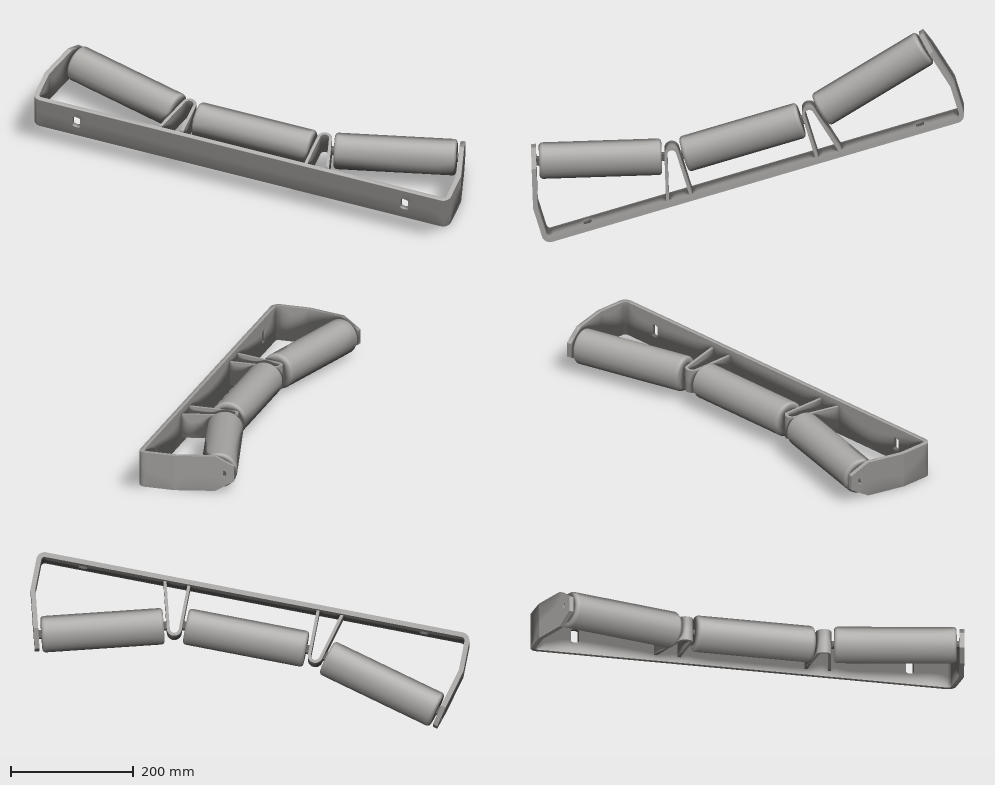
import cadquery as cq
import math

LENGTH = 720.0
HEIGHT = 60.0
TILT = math.radians(15)

FRAME_THICK = 8.0
FRAME_BEND_R = 14.0
FOLD_Y = 63.0
TIP_Y = 158.0
TIP_WIDTH = 25.0
TIP_CHAMFER_LENGTH = 31.0

MOUNT_SLOT_X = 284.0
MOUNT_SLOT_WIDTH = 14.0
MOUNT_SLOT_HEIGHT = 23.0

BRACKET_THICK = 5.0
BRACKET_HEIGHT = 40.0
LOOP_R = 12.0
LOOP_Y = 82.0

ROLLER_LENGTH = 200.0
ROLLER_DIAMETER = 60.0
ROLLER_EDGE_R = 6.0
ROLLER_GAP = 5.0
MIDDLE_ROLLER_Y = 71.0
SHAFT_DIAMETER = 15.0
SHAFT_FLATS = 10.0
SHAFT_SLOT_LENGTH = 20.0
OUTER_ROLLER_RISE = 40.0

COS = math.cos(TILT)
SIN = math.sin(TILT)
HALF_LENGTH = LENGTH / 2
BRACKET_FACE_X = ROLLER_LENGTH / 2 + ROLLER_GAP
LOOP_X = BRACKET_FACE_X + LOOP_R


def leaning_point(across, along):
    """Right-hand point from distances across and along the leaning direction."""
    return (across * COS - along * SIN, across * SIN + along * COS)


PLATE_OUTER = HALF_LENGTH * COS + FOLD_Y * SIN
PLATE_INNER = PLATE_OUTER - FRAME_THICK
LOOP_ACROSS = LOOP_X * COS + LOOP_Y * SIN
BRACKET_LEAN_FACE = LOOP_ACROSS + LOOP_R
ROLLER_MID_ACROSS = (BRACKET_LEAN_FACE + PLATE_INNER) / 2

PLATE_TIP = (TIP_Y - PLATE_OUTER * SIN) / COS


def leaning_plane(across, along):
    """Plane whose X axis runs along the lean, Y along Z, and normal across the lean, outwards."""
    x, y = leaning_point(across, along)
    return cq.Plane(origin=(x, y, 0), xDir=(-SIN, COS, 0), normal=(COS, SIN, 0))


def mirror_pair(right):
    """The right-hand shape and its mirror image on the left."""
    return [right, right.mirror("YZ")]


def make_shaft_slot():
    """Cutter for the right-hand end plate; the flatted shaft sits in its lower end."""
    rise = OUTER_ROLLER_RISE + (SHAFT_SLOT_LENGTH - SHAFT_DIAMETER) / 2
    centre = cq.Workplane(leaning_plane(PLATE_INNER, rise))
    rounded = centre.slot2D(SHAFT_SLOT_LENGTH, SHAFT_DIAMETER).extrude(FRAME_THICK)
    flats = centre.rect(SHAFT_SLOT_LENGTH, SHAFT_FLATS).extrude(FRAME_THICK)
    return rounded.intersect(flats)


def make_tip_chamfers():
    """Cutters for the two corners of the right-hand end-plate tip."""
    corner = [
        (0, TIP_WIDTH / 2),
        (0, HEIGHT / 2),
        (-TIP_CHAMFER_LENGTH, HEIGHT / 2),
    ]
    tip = cq.Workplane(leaning_plane(PLATE_INNER, PLATE_TIP))
    upper = tip.polyline(corner).close().extrude(FRAME_THICK)
    return upper.union(upper.mirror("XY"))


def make_mount_slot():
    """Upright slot cutter with shallow rounded ends."""
    centre = cq.Workplane("XZ").center(MOUNT_SLOT_X, 0)
    disc = centre.circle(MOUNT_SLOT_HEIGHT / 2).extrude(-FRAME_THICK)
    sides = centre.rect(MOUNT_SLOT_WIDTH, MOUNT_SLOT_HEIGHT).extrude(-FRAME_THICK)
    return disc.intersect(sides)


def round_upright_edges(body, x, y, radius):
    """Round the vertical edge at (x, y) and its mirror image at (-x, y)."""
    for side_x in (x, -x):
        edge = cq.selectors.NearestToPointSelector((side_x, y, 0))
        body = body.edges("|Z").edges(edge).fillet(radius)
    return body


def make_frame():
    """One bent strip: a base, two upright walls and two leaning end plates."""
    inner_corner_x = HALF_LENGTH - FRAME_THICK
    inner_fold_y = FOLD_Y - FRAME_THICK * math.tan(TILT / 2)
    right_outline = [
        (HALF_LENGTH, 0),
        (HALF_LENGTH, FOLD_Y),
        leaning_point(PLATE_OUTER, PLATE_TIP),
        leaning_point(PLATE_INNER, PLATE_TIP),
        (inner_corner_x, inner_fold_y),
        (inner_corner_x, FRAME_THICK),
    ]
    left_outline = [(-x, y) for x, y in reversed(right_outline)]
    frame = (
        cq.Workplane("XY")
        .polyline(right_outline + left_outline)
        .close()
        .extrude(HEIGHT / 2, both=True)
    )
    frame = round_upright_edges(frame, HALF_LENGTH, 0, FRAME_BEND_R)
    frame = round_upright_edges(frame, inner_corner_x, FRAME_THICK, FRAME_BEND_R - FRAME_THICK)
    frame = round_upright_edges(frame, HALF_LENGTH, FOLD_Y, FRAME_THICK)
    for cutter in (make_shaft_slot(), make_tip_chamfers(), make_mount_slot()):
        for side in mirror_pair(cutter):
            frame = frame.cut(side)
    return frame


def make_bracket():
    """Right-hand bent strip: an upright leg, a loop and a leaning leg."""

    def loop_point(radius, angle):
        return (LOOP_X + radius * math.cos(angle), LOOP_Y + radius * math.sin(angle))

    def leg_foot(radius):
        across = LOOP_ACROSS + radius
        return ((across - FRAME_THICK * SIN) / COS, FRAME_THICK)

    inner_r = LOOP_R - BRACKET_THICK
    crown = (TILT + math.pi) / 2
    return (
        cq.Workplane("XY")
        .moveTo(BRACKET_FACE_X, FRAME_THICK)
        .lineTo(BRACKET_FACE_X, LOOP_Y)
        .threePointArc(loop_point(LOOP_R, crown), loop_point(LOOP_R, TILT))
        .lineTo(*leg_foot(LOOP_R))
        .lineTo(*leg_foot(inner_r))
        .lineTo(*loop_point(inner_r, TILT))
        .threePointArc(loop_point(inner_r, crown), (LOOP_X - inner_r, LOOP_Y))
        .lineTo(BRACKET_FACE_X + BRACKET_THICK, FRAME_THICK)
        .close()
        .extrude(BRACKET_HEIGHT / 2, both=True)
    )


def make_shaft(plane, reach_in, reach_out):
    """Shaft with two flats, reaching both ways from the plane along its normal."""
    length = reach_in + reach_out
    start = cq.Workplane(plane).workplane(offset=-reach_in)
    return start.circle(SHAFT_DIAMETER / 2).extrude(length).intersect(
        start.rect(SHAFT_DIAMETER, SHAFT_FLATS).extrude(length)
    )


def make_roller(plane, shaft):
    """Roller centred on the plane, its axis along the plane normal, in one piece with its shaft."""
    barrel = (
        cq.Workplane(plane)
        .workplane(offset=-ROLLER_LENGTH / 2)
        .circle(ROLLER_DIAMETER / 2)
        .extrude(ROLLER_LENGTH)
        .edges("%CIRCLE")
        .fillet(ROLLER_EDGE_R)
    )
    return barrel.union(shaft)


middle_plane = cq.Plane(origin=(0, MIDDLE_ROLLER_Y, 0), xDir=(0, 1, 0), normal=(1, 0, 0))
outer_plane = leaning_plane(ROLLER_MID_ACROSS, OUTER_ROLLER_RISE)

bracket_reach = BRACKET_FACE_X + BRACKET_THICK
middle_shaft = make_shaft(middle_plane, bracket_reach, bracket_reach)
outer_shaft = make_shaft(
    outer_plane,
    ROLLER_MID_ACROSS - BRACKET_LEAN_FACE + BRACKET_THICK,
    PLATE_OUTER - ROLLER_MID_ACROSS,
)

frame = make_frame()
brackets = mirror_pair(make_bracket().cut(middle_shaft).cut(outer_shaft))
middle_roller = make_roller(middle_plane, middle_shaft)
outer_rollers = mirror_pair(make_roller(outer_plane, outer_shaft))

result = cq.Compound.makeCompound(
    [
        frame.val(),
        *[bracket.val() for bracket in brackets],
        middle_roller.val(),
        *[roller.val() for roller in outer_rollers],
    ]
)